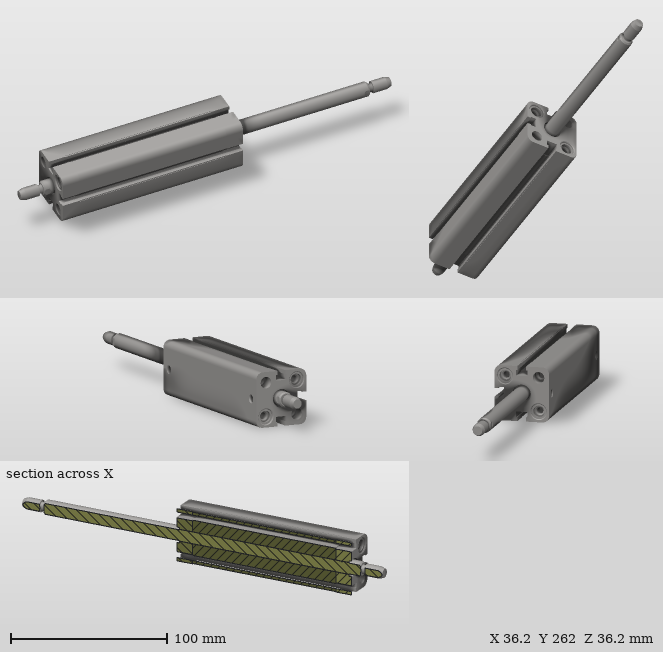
import cadquery as cq


OVERALL_LENGTH = 262.0
ROD_FRONT_REACH = 22.3
BODY_LENGTH = 127.6
CAP_LENGTH = 11.8
BARREL_LENGTH = BODY_LENGTH - 2 * CAP_LENGTH

BODY_WIDTH = 36.2
HALF_WIDTH = BODY_WIDTH / 2
CORNER_RADIUS = 4.5

SLOT_MOUTH_WIDTH = 5.8
SLOT_INNER_WIDTH = 7.3
SLOT_LIP = 2.5
CAP_SLOT_DEPTH = 6.3
BARREL_SLOT_DEPTH = 5.8
BARREL_REBATE_DEPTH = 0.3
SLOT_ANGLES = (0, 90, 180)

MOUNT_PITCH = 22.3
MOUNT_DIAMETER = 7.5
MOUNT_DEPTH = 7.9
CENTRED_MOUNT_DEPTH = 3.1
THREAD_DIAMETER = 4.2
THREAD_RELIEF_DIAMETER = 5.8
THREAD_CHAMFER = (THREAD_RELIEF_DIAMETER - THREAD_DIAMETER) / 2
CENTRING_DIAMETER = 10.0
CENTRING_DEPTH = 1.0
CENTRING_RIM_DIAMETER = 11.0
CENTRING_CHAMFER = (CENTRING_RIM_DIAMETER - CENTRING_DIAMETER) / 2

PORT_FROM_FACE = 7.3
PORT_DEPTH = 7.9

ROD_RECESS_DIAMETER = 12.0
ROD_RECESS_DEPTH = 2.0

ROD_DIAMETER = 10.0
TIP_LENGTH = 15.7
STUD_DIAMETER = 8.0
STUD_CHAMFER_LENGTH = 3.1
STUD_CHAMFER = 1.0
NECK_DIAMETER = 5.8
NECK_LENGTH = 3.0
NECK_FILLET = 0.5
SHOULDER_CHAMFER = 0.8
SHOULDER_CHAMFER_LENGTH = 1.0
FLAT_WIDTH = 9.0
FLAT_LENGTH = 3.5
FLAT_RUNOUT = 1.0


def cylinder_along_y(diameter, start, length):
    """Cylinder on the Y axis from y = start to y = start + length."""
    return cq.Workplane("XZ", origin=(0, start, 0)).circle(diameter / 2).extrude(-length)


def square_block(start, length):
    """Square bar along Y with rounded long edges."""
    block = cq.Workplane("XY").box(BODY_WIDTH, length, BODY_WIDTH)
    return block.edges("|Y").fillet(CORNER_RADIUS).translate((0, start + length / 2, 0))


def slot_groove(width, top_depth, bottom_depth, start, length):
    """Straight groove along Y in the top side, between two depths below it."""
    height = bottom_depth - top_depth
    groove = cq.Workplane("XY").box(width, length, height)
    return groove.translate((0, start + length / 2, HALF_WIDTH - top_depth - height / 2))


def cut_slots(body, start, length, depth, rebate_depth=0):
    cutter = slot_groove(SLOT_MOUTH_WIDTH, 0, depth, start, length)
    cutter = cutter.union(slot_groove(SLOT_INNER_WIDTH, SLOT_LIP, depth, start, length))
    if rebate_depth > 0:
        cutter = cutter.union(slot_groove(SLOT_INNER_WIDTH, 0, rebate_depth, start, length))
    for angle in SLOT_ANGLES:
        body = body.cut(cutter.rotate((0, 0, 0), (0, 1, 0), angle))
    return body


def chamfered_hole(diameter, depth, chamfer):
    """Hole cutter going in from y = 0, with a 45 degree chamfer at its mouth."""
    radius = diameter / 2
    profile = [(0, 0), (radius + chamfer, 0), (radius, chamfer), (radius, depth), (0, depth)]
    return cq.Workplane("XY").polyline(profile).close().revolve(360, (0, 0, 0), (0, 1, 0))


def tapped_hole(depth):
    return chamfered_hole(THREAD_DIAMETER, depth, THREAD_CHAMFER)


def mounting_hole(has_centring):
    """Stepped mounting hole going in from y = 0 through the cap."""
    depth = CENTRED_MOUNT_DEPTH if has_centring else MOUNT_DEPTH
    hole = cylinder_along_y(MOUNT_DIAMETER, 0, depth)
    hole = hole.union(tapped_hole(CAP_LENGTH - depth).translate((0, depth, 0)))
    if has_centring:
        hole = hole.union(chamfered_hole(CENTRING_DIAMETER, CENTRING_DEPTH, CENTRING_CHAMFER))
    return hole


def make_cap():
    """Front cap, with its outer face at y = 0."""
    cap = cut_slots(square_block(0, CAP_LENGTH), 0, CAP_LENGTH, CAP_SLOT_DEPTH)
    for x_side in (-1, 1):
        for z_side in (-1, 1):
            hole = mounting_hole(has_centring=x_side == z_side)
            cap = cap.cut(hole.translate((x_side * MOUNT_PITCH / 2, 0, z_side * MOUNT_PITCH / 2)))
    port = tapped_hole(PORT_DEPTH).rotate((0, 0, 0), (0, 0, 1), -90)
    cap = cap.cut(port.translate((-HALF_WIDTH, PORT_FROM_FACE, 0)))
    cap = cap.cut(cylinder_along_y(ROD_DIAMETER, 0, CAP_LENGTH))
    return cap.cut(cylinder_along_y(ROD_RECESS_DIAMETER, 0, ROD_RECESS_DEPTH))


def make_barrel():
    barrel = square_block(CAP_LENGTH, BARREL_LENGTH)
    barrel = cut_slots(barrel, CAP_LENGTH, BARREL_LENGTH, BARREL_SLOT_DEPTH, BARREL_REBATE_DEPTH)
    return barrel.cut(cylinder_along_y(ROD_DIAMETER, CAP_LENGTH, BARREL_LENGTH))


def make_rod_half():
    """Rear half of the rod, from y = 0 at mid-length to its tip at the rear."""
    tip = OVERALL_LENGTH / 2
    shoulder = tip - TIP_LENGTH
    neck_end = shoulder + NECK_LENGTH
    body = ROD_DIAMETER / 2
    stud = STUD_DIAMETER / 2
    neck = NECK_DIAMETER / 2
    profile = (
        cq.Workplane("XY")
        .lineTo(body, 0)
        .lineTo(body, shoulder - SHOULDER_CHAMFER_LENGTH)
        .lineTo(body - SHOULDER_CHAMFER, shoulder)
        .lineTo(neck + NECK_FILLET, shoulder)
        .radiusArc((neck, shoulder + NECK_FILLET), NECK_FILLET)
        .lineTo(neck, neck_end - NECK_FILLET)
        .radiusArc((neck + NECK_FILLET, neck_end), NECK_FILLET)
        .lineTo(stud, neck_end)
        .lineTo(stud, tip - STUD_CHAMFER_LENGTH)
        .lineTo(stud - STUD_CHAMFER, tip)
        .lineTo(0, tip)
        .close()
    )
    half = profile.revolve(360, (0, 0, 0), (0, 1, 0))

    flat = FLAT_WIDTH / 2
    flat_outline = [
        (flat, shoulder),
        (flat, shoulder - FLAT_LENGTH),
        (body, shoulder - FLAT_LENGTH - FLAT_RUNOUT),
        (body, shoulder),
    ]
    flat_cutter = cq.Workplane("XY").polyline(flat_outline).close().extrude(body, both=True)
    return half.cut(flat_cutter).cut(flat_cutter.mirror("YZ"))


def make_rod():
    """Rod with a necked stud and two wrench flats at each end."""
    half = make_rod_half()
    rod = half.union(half.mirror("XZ"))
    return rod.translate((0, OVERALL_LENGTH / 2 - ROD_FRONT_REACH, 0))


front_cap = make_cap()
rear_cap = make_cap().mirror("XZ").translate((0, BODY_LENGTH, 0))
barrel = make_barrel()
rod = make_rod()

result = cq.Compound.makeCompound([front_cap.val(), rear_cap.val(), barrel.val(), rod.val()])